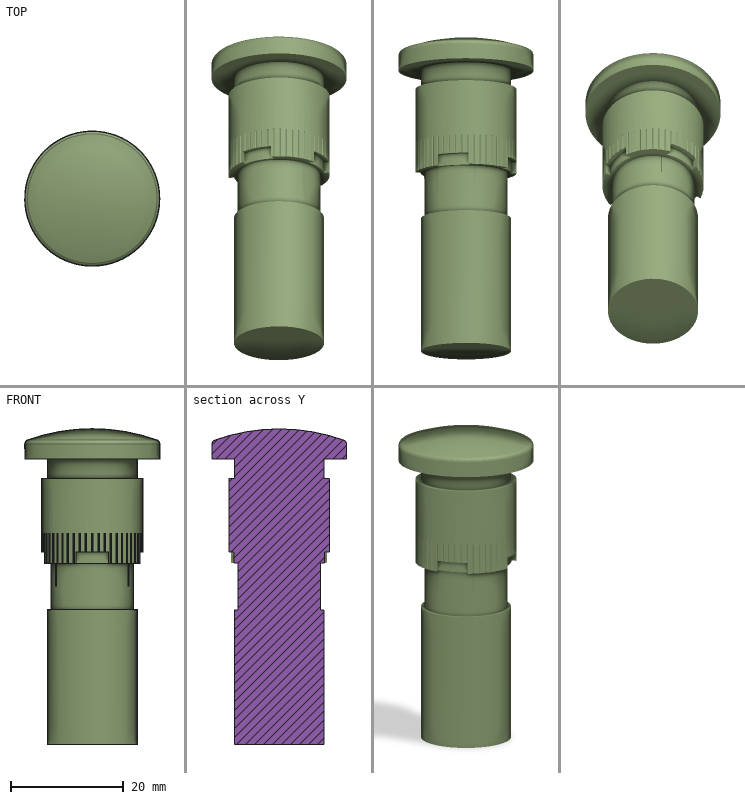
import cadquery as cq
import math

total_height = 56.13
body_top = 24.0
ring_bottom = 32.2
notch_top = 34.2
knurl_top = 37.5
collar_top = 47.3
cap_bottom = 50.7

body_diameter = 16.0
neck_diameter = 14.7
notch_floor_diameter = 16.1
collar_diameter = 18.0
stem_diameter = 16.0
cap_diameter = 24.0

dome_rise = 2.2
cap_rim_fillet = 0.75

knurl_count = 50
knurl_width = 0.27
notch_count = 4
notch_width = 5.75

slit_width = 0.1
slit_offset = 3.38
slit_bottom = 28.2
slit_floor_diameter = 14.4


def cylinder(diameter, bottom, top):
    """Solid cylinder on the Z axis between two levels."""
    return cq.Workplane("XY").workplane(offset=bottom).circle(diameter / 2).extrude(top - bottom)


def tube(outer_diameter, inner_diameter, bottom, top):
    """Tube on the Z axis between two levels."""
    return cylinder(outer_diameter, bottom, top).cut(cylinder(inner_diameter, bottom, top))


def make_stepped_core():
    """Lower body, neck, collar and the stem under the cap."""
    core = cylinder(body_diameter, 0, body_top)
    core = core.union(cylinder(neck_diameter, body_top, ring_bottom))
    core = core.union(cylinder(collar_diameter, ring_bottom, collar_top))
    return core.union(cylinder(stem_diameter, collar_top, cap_bottom))


def make_cap():
    """Mushroom cap with a spherical top and a rounded rim."""
    cap_radius = cap_diameter / 2
    rim_height = total_height - dome_rise
    dome_radius = (cap_radius**2 + dome_rise**2) / (2 * dome_rise)
    half_angle = math.asin(cap_radius / dome_radius) / 2
    mid_radius = dome_radius * math.sin(half_angle)
    mid_height = total_height - dome_radius * (1 - math.cos(half_angle))
    cap = (
        cq.Workplane("XZ")
        .moveTo(0, cap_bottom)
        .lineTo(cap_radius, cap_bottom)
        .lineTo(cap_radius, rim_height)
        .threePointArc((mid_radius, mid_height), (0, total_height))
        .close()
        .revolve(360, (0, 0, 0), (0, 1, 0))
    )
    rim_selector = cq.selectors.BoxSelector(
        (-cap_diameter, -cap_diameter, rim_height - dome_rise / 2),
        (cap_diameter, cap_diameter, rim_height + dome_rise / 2),
        boundingbox=True,
    )
    return cap.edges("%CIRCLE").edges(rim_selector).fillet(cap_rim_fillet)


def make_knurl_grooves():
    """Axial V-grooves around the lower part of the collar, one of them at -Y."""
    collar_radius = collar_diameter / 2
    return (
        cq.Workplane("XY")
        .workplane(offset=ring_bottom)
        .polarArray(collar_radius, -90, 360, knurl_count)
        .polygon(4, knurl_width)
        .extrude(knurl_top - ring_bottom)
    )


def make_notches():
    """Openings in the lower edge of the collar on the four axis directions."""
    notch_bars = (
        cq.Workplane("XY")
        .workplane(offset=ring_bottom)
        .polarArray(collar_diameter / 2, 0, 360, notch_count)
        .rect(collar_diameter, notch_width)
        .extrude(notch_top - ring_bottom)
    )
    return notch_bars.cut(cylinder(notch_floor_diameter, ring_bottom, notch_top))


def make_neck_slits():
    """Two thin slits on each of the -X and +X sides of the neck."""
    slit_bars = (
        cq.Workplane("XY")
        .workplane(offset=slit_bottom)
        .pushPoints([(0, -slit_offset), (0, slit_offset)])
        .rect(neck_diameter, slit_width)
        .extrude(ring_bottom - slit_bottom)
    )
    neck_skin = tube(neck_diameter, slit_floor_diameter, slit_bottom, ring_bottom)
    return slit_bars.intersect(neck_skin)


result = (
    make_stepped_core()
    .union(make_cap())
    .cut(make_knurl_grooves())
    .cut(make_notches())
    .cut(make_neck_slits())
)